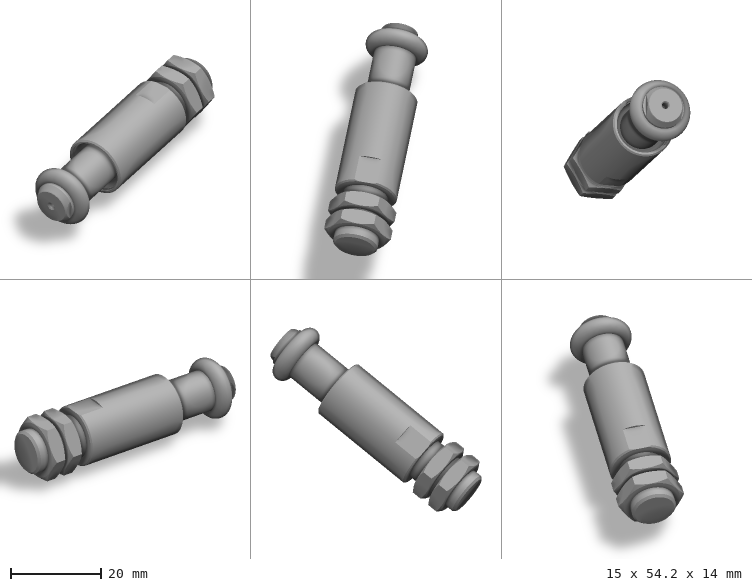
import cadquery as cq
import math

total_length = 54.2

neck_dia = 10.0
neck_chamfer = 0.55
barrel_dia = 14.0
barrel_start = 12.85
barrel_end = 37.95
barrel_chamfer = 0.3
barrel_flat_width = 13.0
barrel_flat_length = 6.2
mouth_dia = 12.6
mouth_depth = 0.65
recess_dia = 12.0
recess_depth = 2.15
recess_fillet = 0.8

rod_dia = 9.5
rod_start = 25.25
tip_taper_start = 52.7
tip_dia = 7.85
tip_edge_chamfer = 0.1
tip_flat_width = 8.1
tip_hole_dia = 1.5
tip_hole_mouth_dia = 2.0
tip_hole_depth = 2.7
drill_point_angle = 118.0

ring_dia = 14.0
ring_width = 4.0
ring_start = 47.95

nut_flat_width = 13.0
nut_thickness = 3.5
nut_face_dia = 12.8
nut_chamfer_angle = 30.0
nut_starts = (2.5, 7.0)


def revolve_about_axis(profile):
    """Revolve a profile drawn as (radius, Y) in the XY plane about the Y axis."""
    return profile.close().revolve(360, (0, 0, 0), (0, 1, 0))


def turned(points):
    """Turned solid from (radius, station) points."""
    return revolve_about_axis(cq.Workplane("XY").polyline([(r, -s) for r, s in points]))


def cylinder(diameter, start, end):
    return turned([(0, start), (diameter / 2, start), (diameter / 2, end), (0, end)])


def slab(size_x, size_z, start, end):
    """Rectangular block centred on the axis, between two stations."""
    return cq.Workplane("XY").box(size_x, end - start, size_z).translate((0, -(start + end) / 2, 0))


def make_housing():
    neck_r = neck_dia / 2
    barrel_r = barrel_dia / 2
    body = turned([
        (0, 0),
        (neck_r - neck_chamfer, 0),
        (neck_r, neck_chamfer),
        (neck_r, barrel_start),
        (barrel_r - barrel_chamfer, barrel_start),
        (barrel_r, barrel_start + barrel_chamfer),
        (barrel_r, barrel_end - barrel_chamfer),
        (barrel_r - barrel_chamfer, barrel_end),
        (0, barrel_end),
    ])

    flat_end = barrel_start + barrel_flat_length
    outside_flats = slab(barrel_dia, barrel_dia, barrel_start, flat_end).cut(
        slab(barrel_dia, barrel_flat_width, barrel_start, flat_end))
    body = body.cut(outside_flats)

    recess = cylinder(recess_dia, barrel_end - recess_depth, barrel_end)
    recess = recess.faces(">Y").edges().fillet(recess_fillet)
    mouth = cylinder(mouth_dia, barrel_end - mouth_depth, barrel_end)
    bore = cylinder(rod_dia, rod_start, barrel_end)
    return body.cut(mouth).cut(recess).cut(bore)


def make_rod():
    rod = turned([
        (0, rod_start),
        (rod_dia / 2, rod_start),
        (rod_dia / 2, tip_taper_start),
        (tip_dia / 2, total_length - tip_edge_chamfer),
        (tip_dia / 2 - tip_edge_chamfer, total_length),
        (0, total_length),
    ])

    outside_flats = slab(rod_dia, rod_dia, tip_taper_start, total_length).cut(
        slab(tip_flat_width, rod_dia, tip_taper_start, total_length))
    rod = rod.cut(outside_flats)

    hole_r = tip_hole_dia / 2
    mouth_r = tip_hole_mouth_dia / 2
    hole_floor = total_length - tip_hole_depth
    point_length = hole_r / math.tan(math.radians(drill_point_angle / 2))
    hole = turned([
        (0, hole_floor - point_length),
        (hole_r, hole_floor),
        (hole_r, total_length - (mouth_r - hole_r)),
        (mouth_r, total_length),
        (0, total_length),
    ])
    return rod.cut(hole)


def make_ring():
    rim_radius = ring_width / 2
    rim_centre = ring_dia / 2 - rim_radius
    ring_end = ring_start + ring_width
    return revolve_about_axis(
        cq.Workplane("XY")
        .moveTo(rod_dia / 2, -ring_start)
        .lineTo(rim_centre, -ring_start)
        .threePointArc((ring_dia / 2, -(ring_start + rim_radius)), (rim_centre, -ring_end))
        .lineTo(rod_dia / 2, -ring_end))


def make_nut(start):
    end = start + nut_thickness
    corner_r = nut_flat_width / 2 / math.cos(math.pi / 6)
    face_r = nut_face_dia / 2
    chamfer_length = (corner_r - face_r) * math.tan(math.radians(nut_chamfer_angle))
    hexagon = (
        cq.Workplane("XZ", origin=(0, -start, 0))
        .polygon(6, 2 * corner_r)
        .extrude(nut_thickness))
    chamfer_envelope = turned([
        (0, start),
        (face_r, start),
        (corner_r, start + chamfer_length),
        (corner_r, end - chamfer_length),
        (face_r, end),
        (0, end),
    ])
    return hexagon.intersect(chamfer_envelope).cut(cylinder(neck_dia, start, end))


housing = make_housing()
rod = make_rod()
ring = make_ring()
nuts = [make_nut(start) for start in nut_starts]

result = cq.Compound.makeCompound([
    housing.val(),
    rod.val(),
    ring.val(),
    *[nut.val() for nut in nuts],
])